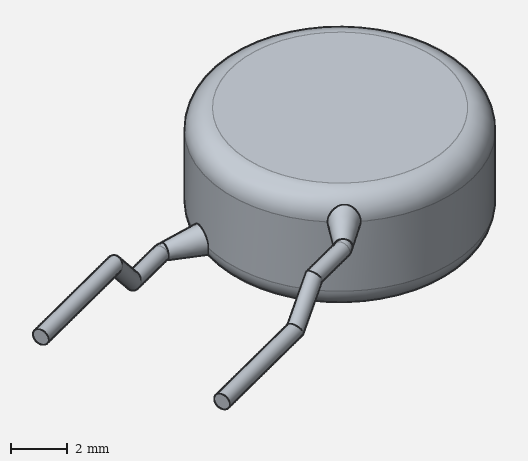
import cadquery as cq
import math

DISC_DIAMETER = 11.0
DISC_HEIGHT = 5.0
DISC_FILLET = 0.99

TOTAL_LENGTH = 19.8
LEAD_TIP_Y = DISC_DIAMETER / 2 - TOTAL_LENGTH
LEAD_DIAMETER = 0.65
LEAD_RADIUS = LEAD_DIAMETER / 2
LEAD_SPACING = 7.48
LEAD_X = LEAD_SPACING / 2
EXIT_HEIGHT = 1.5
CRIMP_START_Y = -7.98
CRIMP_END_Y = -9.27

ELBOW_END_Y = -6.08
ELBOW_RADIUS = 0.35
ELBOW_ANGLE = math.radians(30)

CONE_TIP_RADIUS = 0.34
CONE_ROOT_RADIUS = 0.67
CONE_LENGTH = 1.98

ELBOW_START_X = LEAD_X - ELBOW_RADIUS * (1 - math.cos(ELBOW_ANGLE))
ELBOW_START_Y = ELBOW_END_Y + ELBOW_RADIUS * math.sin(ELBOW_ANGLE)
ELBOW_START = cq.Vector(ELBOW_START_X, ELBOW_START_Y, EXIT_HEIGHT)
CONE_DIRECTION = cq.Vector(-math.sin(ELBOW_ANGLE), math.cos(ELBOW_ANGLE), 0)

SIDE_ROTATIONS = (0, 180)


def make_disc():
    """Round disc with rounded top and bottom rims."""
    blank = cq.Workplane("XY").cylinder(DISC_HEIGHT, DISC_DIAMETER / 2)
    return blank.faces("<Z or >Z").edges().fillet(DISC_FILLET)


def make_elbow():
    """Short wire bend from the cone direction to the -Y direction."""
    half_angle = ELBOW_ANGLE / 2
    middle_x = LEAD_X - ELBOW_RADIUS * (1 - math.cos(half_angle))
    middle_y = ELBOW_END_Y + ELBOW_RADIUS * math.sin(half_angle)
    path = cq.Workplane("XY", origin=(0, 0, EXIT_HEIGHT)).moveTo(ELBOW_START_X, ELBOW_START_Y)
    path = path.threePointArc((middle_x, middle_y), (LEAD_X, ELBOW_END_Y))
    start_plane = cq.Plane(ELBOW_START, xDir=(0, 0, 1), normal=-CONE_DIRECTION)
    return cq.Workplane(start_plane).circle(LEAD_RADIUS).sweep(path)


def make_crimped_wire():
    """Straight wire with a mitred step from the exit height to the disc mid-plane."""
    path = cq.Workplane("YZ", origin=(LEAD_X, 0, 0)).polyline([
        (ELBOW_END_Y, EXIT_HEIGHT),
        (CRIMP_START_Y, EXIT_HEIGHT),
        (CRIMP_END_Y, 0),
        (LEAD_TIP_Y, 0),
    ])
    start = cq.Workplane("XZ", origin=(LEAD_X, ELBOW_END_Y, EXIT_HEIGHT))
    return start.circle(LEAD_RADIUS).sweep(path, transition="right")


def make_lead(rotation):
    """Complete wire lead."""
    lead = make_crimped_wire().union(make_elbow())
    return lead.rotate((0, 0, 0), (0, 1, 0), rotation)


def make_coating_cone(rotation, disc):
    """Tapered coating around the lead exit, ending on the disc surface."""
    cone = cq.Workplane(obj=cq.Solid.makeCone(
        CONE_TIP_RADIUS, CONE_ROOT_RADIUS, CONE_LENGTH, pnt=ELBOW_START, dir=CONE_DIRECTION))
    return cone.rotate((0, 0, 0), (0, 1, 0), rotation).cut(disc)


disc = make_disc()
leads = [make_lead(rotation) for rotation in SIDE_ROTATIONS]
cones = [make_coating_cone(rotation, disc) for rotation in SIDE_ROTATIONS]

result = cq.Compound.makeCompound([
    disc.solids().val(),
    *[lead.solids().val() for lead in leads],
    *[cone.solids().val() for cone in cones],
])